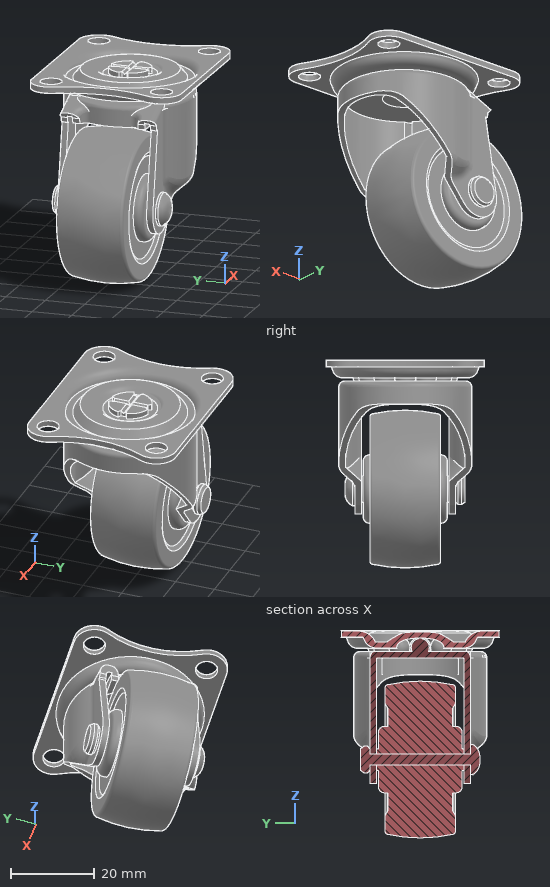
import cadquery as cq
import math

sheet = 1.6

plate_length = 46.1
plate_width = 38.0
corner_radius = 5.0
hole_radius = 2.65
hole_x = plate_length / 2 - corner_radius
hole_y = plate_width / 2 - corner_radius
waist_x = 19.8
bowl_rim_radius = 18.7
bowl_wall_radius = 15.55
floor_z = -2.7
bowl_bottom_z = floor_z - sheet
dome_foot_radius = 13.8
dome_shoulder_radius = 12.05
dome_shoulder_z = -0.55
dome_flat_outer = 10.05
dome_flat_inner = 9.55
dome_flat_z = -0.1
dome_inner_radius = 7.5
dome_inner_z = -1.1
underside_rim_radius = 17.8
underside_flat_radius = 14.85
wall_bend = (16.6, -0.9)
dome_outer_bend = (11.1, -0.2)
dome_inner_bend = (8.4, -0.4)
underside_side = (17.55, -2.25)
underside_bend = (16.65, -3.7)

pin_radius = 6.6
pin_face_z = -sheet
stake_radius = 5.2
stake_top_z = -0.15
groove_half_width = 0.65
groove_depth = 0.65
notch_start = 4.3
notch_half_width = 1.2

ball_count = 12
ball_radius = 2.55
ball_circle_radius = 10.0
ball_z = -4.05

fork_top_z = -5.0
roof_z = fork_top_z - sheet
cup_radius = 16.0
cup_inner_radius = cup_radius - sheet
cup_edge_fillet = 1.5
skirt_z = -10.55
leg_outer_y = 12.1
leg_inner_y = leg_outer_y - sheet
leg_end_radius = 6.05
leg_front_lean = 10.1
leg_rear_slope = 49.2
rear_knee_radius = 5.5
bulge_arc_x = -2.55
bulge_arc_z = -21.7
bulge_arc_radius = 8.15
bulge_floor_taper = 42.0
bulge_fillet = 2.75
ridge_top_x = -11.6
ridge_tip = (-17.9, -7.65)
ridge_chin = (-16.3, -9.25)
ridge_inner_y = 7.6
ridge_root_x = -8.25
ridge_root_radius = 1.9
ridge_outer_fillet = 1.5
ridge_inner_fillet = 2.2
channel_fillet = 0.6

axle_x = -13.0
axle_z = -30.95
wheel_radius = 19.0
wheel_half_width = 8.5
tread_edge_radius = 18.15
tread_fillet = 0.9
recess_outer_radius = 13.6
recess_inner_radius = 12.5
recess_depth = 0.65
hub_radius = 8.25
hub_half_width = 10.1
hub_fillet = 1.55
spacer_radius = 3.2
shaft_radius = 2.2
head_radius = 4.05
head_rim_y = 12.7
head_end_y = 14.5
head_flat_radius = 1.1
head_bend = (3.0, -13.9)
rivet_neck_radius = 3.2
rivet_radius = 3.75
rivet_swell_y = 12.65
rivet_rim_y = 13.55
rivet_end_y = 14.35


def revolve_about_z(profile):
    return profile.close().revolve(360, (0, 0, 0), (0, 1, 0))


def upright_prism(points, y_start, y_end):
    """Prism with an X-Z outline, from y_start to y_end."""
    outline = cq.Workplane("XZ", origin=(0, y_start, 0)).polyline(points).close()
    return outline.extrude(y_start - y_end)


def both_sides(body):
    return body.union(body.mirror("XZ"))


def cylinder(radius, z_top, z_bottom):
    return cq.Workplane("XY").workplane(offset=z_bottom).circle(radius).extrude(z_top - z_bottom)


def plate_blank():
    """Flat plate whose corner arcs run tangentially into the concave ends."""
    run = waist_x - hole_x
    waist_radius = (run**2 + hole_y**2 - corner_radius**2) / (2 * (corner_radius - run))
    angle = math.atan2(hole_y, run + waist_radius)
    join_x = hole_x + corner_radius * math.cos(angle)
    join_y = hole_y - corner_radius * math.sin(angle)
    tip = (math.pi / 2 - angle) / 2
    mid_x = hole_x + corner_radius * math.cos(tip)
    mid_y = hole_y + corner_radius * math.sin(tip)
    top_y = hole_y + corner_radius
    outline = (
        cq.Workplane("XY")
        .moveTo(-hole_x, top_y)
        .lineTo(hole_x, top_y)
        .threePointArc((mid_x, mid_y), (join_x, join_y))
        .threePointArc((waist_x, 0), (join_x, -join_y))
        .threePointArc((mid_x, -mid_y), (hole_x, -top_y))
        .lineTo(-hole_x, -top_y)
        .threePointArc((-mid_x, -mid_y), (-join_x, -join_y))
        .threePointArc((-waist_x, 0), (-join_x, join_y))
        .threePointArc((-mid_x, mid_y), (-hole_x, top_y))
        .close()
    )
    blank = outline.extrude(-sheet)
    holes = cq.Workplane("XY").rect(2 * hole_x, 2 * hole_y, forConstruction=True).vertices()
    return blank.cut(holes.circle(hole_radius).extrude(-sheet))


def pressed_center():
    """Bowl with the raised dome over the balls and the bore of the kingpin."""
    profile = (
        cq.Workplane("XZ")
        .moveTo(bowl_rim_radius, 0)
        .threePointArc(wall_bend, (bowl_wall_radius, floor_z))
        .lineTo(dome_foot_radius, floor_z)
        .lineTo(dome_shoulder_radius, dome_shoulder_z)
        .threePointArc(dome_outer_bend, (dome_flat_outer, dome_flat_z))
        .lineTo(dome_flat_inner, dome_flat_z)
        .threePointArc(dome_inner_bend, (dome_inner_radius, dome_inner_z))
        .lineTo(pin_radius, pin_face_z)
        .lineTo(pin_radius, bowl_bottom_z)
        .lineTo(underside_flat_radius, bowl_bottom_z)
        .threePointArc(underside_bend, underside_side)
        .lineTo(underside_rim_radius, -sheet)
        .lineTo(bowl_rim_radius, -sheet)
    )
    return revolve_about_z(profile)


def make_plate():
    race = (
        cq.Workplane("XZ")
        .center(ball_circle_radius, ball_z)
        .circle(ball_radius)
        .revolve(360, (-ball_circle_radius, 0, 0), (-ball_circle_radius, 1, 0))
    )
    return plate_blank().cut(cylinder(bowl_rim_radius, 0, -sheet)).union(pressed_center()).cut(race)


def make_kingpin():
    pin = cylinder(pin_radius, pin_face_z, fork_top_z)
    pin = pin.union(cylinder(stake_radius, stake_top_z, roof_z))
    groove = (
        cq.Workplane("XZ", origin=(0, stake_radius, 0))
        .moveTo(-groove_half_width, stake_top_z)
        .lineTo(groove_half_width, stake_top_z)
        .lineTo(0, stake_top_z - groove_depth)
        .close()
        .extrude(2 * stake_radius)
    )
    notch = (
        cq.Workplane("XY", origin=(0, 0, pin_face_z))
        .moveTo(notch_start, -groove_half_width)
        .lineTo(stake_radius, -notch_half_width)
        .lineTo(stake_radius, notch_half_width)
        .lineTo(notch_start, groove_half_width)
        .close()
        .extrude(stake_top_z - pin_face_z)
    )
    for quarter in range(4):
        pin = pin.cut(notch.rotate((0, 0, 0), (0, 0, 1), 90 * quarter))
    for turn in (0, 90):
        pin = pin.cut(groove.rotate((0, 0, 0), (0, 0, 1), turn))
    return pin


def fork_side_outline():
    """Side outline of the legs, with tangents around the axle boss and the rear knee."""
    lean = math.radians(leg_front_lean)
    slope = math.radians(leg_rear_slope)
    front_low = (axle_x - leg_end_radius * math.cos(lean), axle_z + leg_end_radius * math.sin(lean))
    rear_low = (axle_x + leg_end_radius * math.sin(slope), axle_z - leg_end_radius * math.cos(slope))
    front_high_x = front_low[0] + (skirt_z - front_low[1]) * math.tan(lean)
    knee_x = rear_low[0] + (skirt_z - rear_low[1]) / math.tan(slope)
    outline = (
        cq.Workplane("XZ")
        .moveTo(front_high_x, skirt_z)
        .lineTo(*front_low)
        .threePointArc((axle_x, axle_z - leg_end_radius), rear_low)
        .lineTo(knee_x, skirt_z)
        .lineTo(cup_radius, skirt_z)
        .lineTo(cup_radius, roof_z)
        .lineTo(ridge_top_x, roof_z)
        .lineTo(*ridge_chin)
        .close()
        .extrude(cup_radius, both=True)
    )
    knee = cq.selectors.NearestToPointSelector((knee_x, 0, skirt_z))
    return outline.edges("|Y").edges(knee).fillet(rear_knee_radius)


def bulge_region(front_radius, y_start):
    """Space behind the leg crease, narrowing outwards so that its floor slopes."""
    diagonal = front_radius * math.sqrt(0.5)
    floor_z = bulge_arc_z - front_radius
    far_x = 2 * cup_radius
    return (
        cq.Workplane("XZ", origin=(0, y_start, 0))
        .moveTo(bulge_arc_x - front_radius, cup_radius)
        .lineTo(bulge_arc_x - front_radius, bulge_arc_z)
        .threePointArc((bulge_arc_x - diagonal, bulge_arc_z - diagonal), (bulge_arc_x, floor_z))
        .lineTo(far_x, floor_z)
        .lineTo(far_x, cup_radius)
        .close()
        .extrude(cup_radius + y_start, taper=bulge_floor_taper)
    )


def fork_cup():
    cup = cylinder(cup_radius, fork_top_z, skirt_z)
    return cup.faces(">Z").edges().fillet(cup_edge_fillet)


def fork_column(radius):
    return cylinder(radius, roof_z, axle_z - leg_end_radius)


def leg_blank():
    """Flat leg with its rounded bulge, before the side outline is cut."""
    bulge = fork_column(cup_radius).intersect(bulge_region(bulge_arc_radius, -leg_outer_y))
    far_x = 2 * cup_radius
    low_z = axle_z - leg_end_radius
    corners = [(-far_x, roof_z), (far_x, roof_z), (far_x, low_z), (-far_x, low_z)]
    blank = upright_prism(corners, -leg_outer_y, -leg_inner_y).union(bulge)
    bulge_edges = cq.selectors.BoxSelector(
        (-cup_radius, -far_x, low_z + sheet),
        (cup_radius, -leg_outer_y + sheet / 2, roof_z - sheet),
    )
    floor_seam = cq.selectors.NearestToPointSelector(
        (bulge_arc_x, -(leg_outer_y + cup_radius) / 2, bulge_arc_z - bulge_arc_radius)
    )
    return blank.edges(bulge_edges - floor_seam).fillet(bulge_fillet)


def fork_shell():
    """Rear shell and both legs, trimmed to the side outline and still solid inside."""
    column = fork_column(cup_radius)
    length = 2 * cup_radius
    height = 4 * cup_radius
    core = cq.Workplane("XY").box(length, 2 * leg_outer_y, 2 * height)
    core = core.translate((ridge_root_x + length / 2, 0, 0)).intersect(column)
    front_space = cq.Workplane("XY").box(length, length, 2 * height)
    front_space = front_space.translate((ridge_root_x - length / 2, 0, 0))
    leg = leg_blank().intersect(column.union(front_space))
    return core.union(both_sides(leg)).intersect(fork_side_outline())


def fork_cavity():
    column = fork_column(cup_inner_radius)
    middle = cq.Workplane("XY").box(2 * cup_radius, 2 * leg_inner_y, 8 * cup_radius)
    taper = math.radians(bulge_floor_taper)
    floor_offset = sheet * (1 / math.cos(taper) - math.tan(taper))
    bulges = both_sides(bulge_region(bulge_arc_radius - floor_offset, -leg_inner_y))
    return column.intersect(middle.union(bulges))


def fillet_slope(rib, y_position, slope_drop, radius):
    """Round the edge that runs down the slope of a rib at one Y position."""
    top = cq.Vector(ridge_top_x, y_position, fork_top_z - slope_drop)
    tip = cq.Vector(ridge_tip[0], y_position, ridge_tip[1] - slope_drop)
    sloping = rib.edges(cq.selectors.ParallelDirSelector(top - tip))
    nearest = cq.selectors.NearestToPointSelector(tip.toTuple())
    return rib.newObject(sloping.edges(nearest).vals()).fillet(radius)


def ridge_plan():
    """Plan of a rib, blended by a concave arc into the front wall of the cup."""
    center_y = ridge_root_radius - ridge_inner_y
    center_x = -math.sqrt((cup_radius + ridge_root_radius) ** 2 - center_y**2)
    cup_share = cup_radius / (cup_radius + ridge_root_radius)
    cup_tangent = (center_x * cup_share, center_y * cup_share)
    angle = (math.atan2(-center_y, -center_x) - math.pi / 2) / 2
    arc_middle = (
        center_x + ridge_root_radius * math.cos(angle),
        center_y + ridge_root_radius * math.sin(angle),
    )
    return (
        cq.Workplane("XY", origin=(0, 0, 2 * skirt_z))
        .moveTo(ridge_tip[0], -leg_outer_y)
        .lineTo(ridge_tip[0], -ridge_inner_y)
        .lineTo(center_x, -ridge_inner_y)
        .threePointArc(arc_middle, cup_tangent)
        .lineTo(-cup_inner_radius, cup_tangent[1])
        .lineTo(ridge_root_x, -ridge_inner_y)
        .lineTo(ridge_root_x, -leg_outer_y)
        .close()
        .extrude(-2 * skirt_z)
    )


def ridge():
    """Rounded rib that slopes down from the top of the cup to the front edge of a leg."""
    side = [
        ridge_tip,
        (ridge_top_x, fork_top_z),
        (ridge_root_x, fork_top_z),
        (ridge_root_x, skirt_z),
        (-cup_radius, skirt_z),
        ridge_chin,
    ]
    rib = upright_prism(side, -cup_radius, 0).intersect(ridge_plan())
    rib = fillet_slope(rib, -leg_outer_y, 0, ridge_outer_fillet)
    return fillet_slope(rib, -ridge_inner_y, 0, ridge_inner_fillet)


def ridge_channel():
    """Space under the rib, one sheet thickness below its top."""
    outline = [
        (ridge_tip[0], ridge_tip[1] - sheet),
        (ridge_top_x, roof_z),
        (ridge_root_x, roof_z),
        (ridge_root_x, 2 * skirt_z),
        (ridge_tip[0], 2 * skirt_z),
    ]
    channel = upright_prism(outline, -leg_inner_y, -ridge_inner_y - sheet)
    return fillet_slope(channel, -leg_inner_y, sheet, channel_fillet)


def fork_front():
    """Cup with both ribs and the channels beneath them."""
    return fork_cup().union(both_sides(ridge())).cut(both_sides(ridge_channel()))


def ring_of_balls():
    """Balls standing in the top of the fork, which carries them as one body."""
    balls = cq.Workplane("XY", origin=(0, 0, ball_z))
    return balls.polarArray(ball_circle_radius, 0, 360, ball_count).sphere(ball_radius)


def make_fork():
    fork = fork_front().union(fork_shell()).cut(fork_cavity())
    pin_hole = cylinder(stake_radius, fork_top_z, roof_z)
    axle_hole = (
        cq.Workplane("XZ", origin=(axle_x, 0, axle_z))
        .circle(shaft_radius)
        .extrude(leg_outer_y, both=True)
    )
    return fork.cut(pin_hole).cut(axle_hole).union(ring_of_balls())


def place_on_axle(profile):
    """Revolve a radius-against-Y profile around the wheel axis."""
    body = profile.close().revolve(360, (0, 0, 0), (0, 1, 0))
    return body.translate((axle_x, 0, axle_z))


def make_wheel():
    half = wheel_half_width
    tread_y = half - tread_fillet
    side_radius = tread_edge_radius - tread_fillet
    bend = tread_fillet * math.sqrt(0.5)
    hub_bend = hub_fillet * math.sqrt(0.5)
    hub_corner = (hub_radius - hub_fillet, hub_half_width - hub_fillet)
    half_wheel = (
        cq.Workplane("XY")
        .moveTo(shaft_radius, 0)
        .lineTo(shaft_radius, leg_inner_y)
        .lineTo(spacer_radius, leg_inner_y)
        .lineTo(spacer_radius, hub_half_width)
        .lineTo(hub_corner[0], hub_half_width)
        .threePointArc((hub_corner[0] + hub_bend, hub_corner[1] + hub_bend), (hub_radius, hub_corner[1]))
        .lineTo(hub_radius, half - recess_depth)
        .lineTo(recess_inner_radius, half - recess_depth)
        .lineTo(recess_outer_radius, half)
        .lineTo(side_radius, half)
        .threePointArc((side_radius + bend, tread_y + bend), (tread_edge_radius, tread_y))
        .lineTo(tread_edge_radius, 0)
    )
    tread = (
        cq.Workplane("XY")
        .moveTo(tread_edge_radius, -tread_y)
        .threePointArc((wheel_radius, 0), (tread_edge_radius, tread_y))
    )
    return both_sides(place_on_axle(half_wheel)).union(place_on_axle(tread))


def make_axle():
    profile = (
        cq.Workplane("XY")
        .moveTo(0, -head_end_y)
        .lineTo(head_flat_radius, -head_end_y)
        .threePointArc(head_bend, (head_radius, -head_rim_y))
        .lineTo(head_radius, -leg_outer_y)
        .lineTo(shaft_radius, -leg_outer_y)
        .lineTo(shaft_radius, leg_outer_y)
        .lineTo(rivet_neck_radius, leg_outer_y)
        .lineTo(rivet_radius, rivet_swell_y)
        .lineTo(rivet_radius, rivet_rim_y)
        .lineTo(rivet_neck_radius, rivet_end_y)
        .lineTo(0, rivet_end_y)
    )
    return place_on_axle(profile)


plate = make_plate()
kingpin = make_kingpin()
fork = make_fork()
wheel = make_wheel()
axle = make_axle()

bodies = [plate, kingpin, fork, wheel, axle]
result = cq.Compound.makeCompound([body.solids().val() for body in bodies])